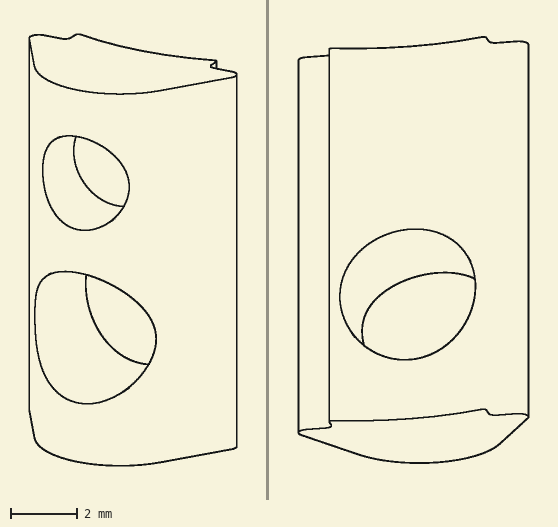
import cadquery as cq
import math

length = 12.0
depth = 4.33

nose_radius = 2.6
flank_angle = math.radians(57.1)
shoulder_drop = 0.64
shoulder_radius = 0.3
neck_width = 4.87
neck_root_radius = 0.2
neck_tip_radius = 0.1
saddle_sag = 0.38

through_diameter = 4.2
through_z = 4.01
blind_diameter = 3.0
blind_z = 9.0
blind_depth = 2.4
drill_point_angle = math.radians(118.0)

shoulder_y = depth - shoulder_drop
neck_half = neck_width / 2
nose_tangent_x = nose_radius * math.sin(flank_angle)
nose_tangent_y = nose_radius * (1 - math.cos(flank_angle))
corner_x = nose_tangent_x + (shoulder_y - nose_tangent_y) / math.tan(flank_angle)


def vertical_edges_at(body, x, y):
    """Select the two full-length edges at +x and -x."""
    def slim_box(center_x):
        margin = 0.01
        return cq.selectors.BoxSelector(
            (center_x - margin, y - margin, 0),
            (center_x + margin, y + margin, length),
        )
    return body.edges("|Z").edges(slim_box(x) + slim_box(-x))


def make_body():
    body = (
        cq.Workplane("XY")
        .moveTo(-nose_tangent_x, nose_tangent_y)
        .threePointArc((0, 0), (nose_tangent_x, nose_tangent_y))
        .lineTo(corner_x, shoulder_y)
        .lineTo(neck_half, shoulder_y)
        .lineTo(neck_half, depth)
        .threePointArc((0, depth - saddle_sag), (-neck_half, depth))
        .lineTo(-neck_half, shoulder_y)
        .lineTo(-corner_x, shoulder_y)
        .close()
        .extrude(length)
    )
    body = vertical_edges_at(body, corner_x, shoulder_y).fillet(shoulder_radius)
    body = vertical_edges_at(body, neck_half, shoulder_y).fillet(neck_root_radius)
    return vertical_edges_at(body, neck_half, depth).fillet(neck_tip_radius)


def through_hole():
    return cq.Workplane("XZ").center(0, through_z).circle(through_diameter / 2).extrude(-depth)


def blind_hole():
    """Drilled hole with a conical bottom."""
    radius = blind_diameter / 2
    tip_y = blind_depth + radius / math.tan(drill_point_angle / 2)
    return (
        cq.Workplane("XY")
        .polyline([(0, 0), (radius, 0), (radius, blind_depth), (0, tip_y)])
        .close()
        .revolve(360, (0, 0, 0), (0, 1, 0))
        .translate((0, 0, blind_z))
    )


result = make_body().cut(through_hole()).cut(blind_hole())